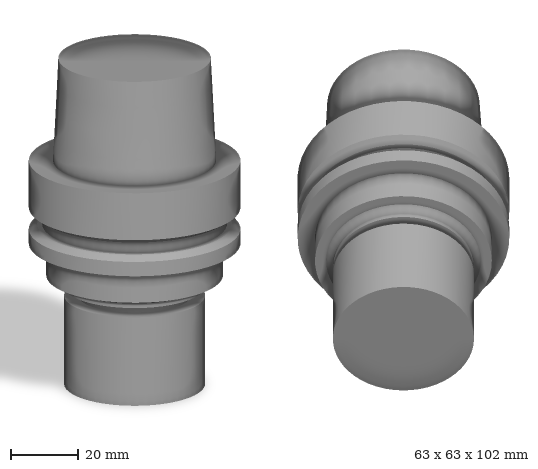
import cadquery as cq


taper_length = 32.0
taper_base_diameter = 48.6
taper_ratio = 1 / 10
taper_top_diameter = taper_base_diameter - taper_ratio * taper_length

flange_diameter = 63.0
flange_length = 26.0
groove_floor_diameter = 55.0
groove_center_depth = 18.1
groove_floor_width = 3.7
groove_mouth_width = 6.8
groove_wall_foot_diameter = 58.0

shoulder_diameter = 52.6
shoulder_length = 10.0
collar_diameter = 42.0
cone_length = 2.0
cone_base_diameter = collar_diameter + 2 * cone_length
collar_length = 1.4

neck_diameter = 33.5
neck_length = 2.9

nut_diameter = 42.0
overall_length = 102.0

groove_mouth_top = -groove_center_depth + groove_mouth_width / 2
groove_floor_top = -groove_center_depth + groove_floor_width / 2
groove_floor_bottom = -groove_center_depth - groove_floor_width / 2
groove_mouth_bottom = -groove_center_depth - groove_mouth_width / 2
flange_bottom = -flange_length
shoulder_bottom = flange_bottom - shoulder_length
cone_bottom = shoulder_bottom - cone_length
collar_bottom = cone_bottom - collar_length
neck_bottom = collar_bottom - neck_length
nut_bottom = taper_length - overall_length


def make_holder():
    """Revolve the half outline of taper, flange, shoulder, collar and neck."""
    outline = [
        (0, taper_length),
        (taper_top_diameter / 2, taper_length),
        (taper_base_diameter / 2, 0),
        (flange_diameter / 2, 0),
        (flange_diameter / 2, groove_mouth_top),
        (groove_wall_foot_diameter / 2, groove_floor_top),
        (groove_floor_diameter / 2, groove_floor_top),
        (groove_floor_diameter / 2, groove_floor_bottom),
        (groove_wall_foot_diameter / 2, groove_floor_bottom),
        (flange_diameter / 2, groove_mouth_bottom),
        (flange_diameter / 2, flange_bottom),
        (shoulder_diameter / 2, flange_bottom),
        (shoulder_diameter / 2, shoulder_bottom),
        (cone_base_diameter / 2, shoulder_bottom),
        (collar_diameter / 2, cone_bottom),
        (collar_diameter / 2, collar_bottom),
        (neck_diameter / 2, collar_bottom),
        (neck_diameter / 2, neck_bottom),
        (0, neck_bottom),
    ]
    return cq.Workplane("XZ").polyline(outline).close().revolve(360, (0, 0, 0), (0, 1, 0))


def make_nut():
    """Plain cylinder seated against the end of the neck."""
    nut_length = neck_bottom - nut_bottom
    return cq.Workplane("XY").workplane(offset=nut_bottom).circle(nut_diameter / 2).extrude(nut_length)


holder = make_holder()
nut = make_nut()

result = cq.Compound.makeCompound([holder.val(), nut.val()])